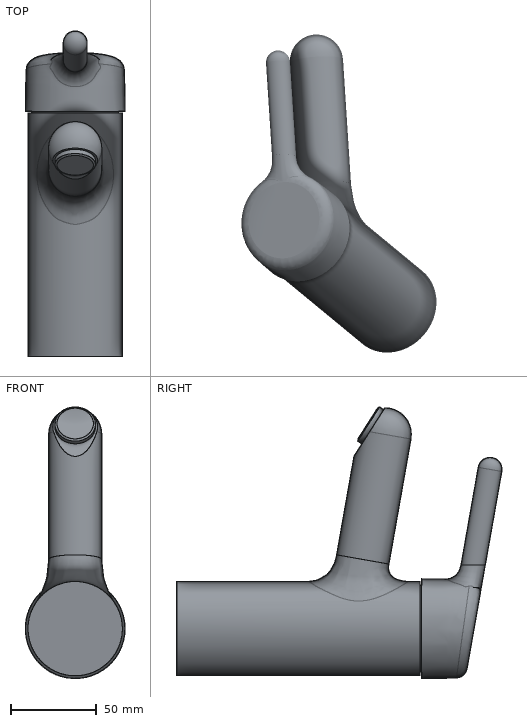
import cadquery as cq
import math

body_radius = 55 / 2
body_length = 142.0

groove_radius = 50.76 / 2
groove_width = 0.8

cap_radius = 58.18 / 2
cap_start = body_length + groove_width
cap_crown_radius = 600.0
cap_blank_length = 40.0
cap_rim_fillet = 6.5

lean = math.radians(10.0)

lever_radius = 14 / 2
overall_length = 189.71
lever_tip_y = overall_length - lever_radius
lever_tip_z = 92.8
lever_foot_z = 37.2
lever_flare_reach = 15.0

spout_radius = 31 / 2
spout_tip_y = 121.4
spout_tip_z = 113.2
spout_length = 74.0
spout_flare_across = 23.0
spout_flare_along = 31.0

outlet_elevation = math.radians(32.5)
outlet_offset = 8.3
aerator_radius = 11.8
aerator_height = 3.5
aerator_chamfer_width = 1.2
aerator_chamfer_depth = 0.6

flare_points = 16
flare_sections = 5
flare_sink = 0.05
flare_plug_radius = 3.0

trim_size = 300.0

x_axis = cq.Vector(1, 0, 0)
y_axis = cq.Vector(0, 1, 0)
z_axis = cq.Vector(0, 0, 1)
origin = cq.Vector(0, 0, 0)

lean_direction = cq.Vector(0, math.sin(lean), math.cos(lean))
lean_side = cq.Vector(0, math.cos(lean), -math.sin(lean))
lever_tip = cq.Vector(0, lever_tip_y, lever_tip_z)
spout_tip = cq.Vector(0, spout_tip_y, spout_tip_z)


def crowned_radius(y):
    """Radius of the barrelled cap at a position along Y."""
    drop = cap_crown_radius - math.sqrt(cap_crown_radius**2 - (y - cap_start) ** 2)
    return cap_radius - drop


def axis_point(tip, z):
    """Point at height z on the leaning axis through tip."""
    return tip - lean_direction * ((tip.z - z) / math.cos(lean))


def ball_ended_rod(tip, radius, length):
    """Leaning round rod that ends in a half ball centred on tip."""
    axis_plane = cq.Plane(tip, x_axis, lean_side * -1)
    diagonal = radius * math.cos(math.pi / 4)
    return (
        cq.Workplane(axis_plane)
        .moveTo(0, -length)
        .lineTo(radius, -length)
        .lineTo(radius, 0)
        .threePointArc((diagonal, diagonal), (0, radius))
        .close()
        .revolve(360, (0, 0, 0), (0, 1, 0))
    )


def flare(stem_circle, contact_curve):
    """Concave blend from a leaning stem down to a host lying along Y.

    stem_circle(angle) gives a point on the stem; contact_curve(angle) gives the
    touching point on the host. Each pair is joined by a parabola that leaves
    along the stem and, on the host's round side, lands in its tangent plane.
    Angles are measured from +Y towards +X.
    """
    angles = [2 * math.pi * i / flare_points for i in range(flare_points)]

    def tangent_drop(angle):
        start = stem_circle(angle)
        end = contact_curve(angle)
        normal = cq.Vector(end.x, 0, end.z).normalized()
        return (end - start).dot(normal) / lean_direction.dot(normal)

    def parabola_point(angle, t):
        start = stem_circle(angle)
        end = contact_curve(angle)
        corner = start + lean_direction * tangent_drop(angle)
        return start * (1 - t) ** 2 + corner * (2 * t * (1 - t)) + end * t**2

    rings = []
    for section in range(flare_sections):
        t = section / (flare_sections - 1)
        points = [parabola_point(angle, t) for angle in angles]
        rings.append(cq.Wire.assembleEdges([cq.Edge.makeSpline(points, periodic=True)]))

    contact = rings[-1]
    plug_ring = cq.Wire.makeCircle(flare_plug_radius, cq.Vector(0, contact.Center().y, 0), z_axis)
    skin = cq.occ_impl.shapes.loft(rings, cap=False)
    faces = skin.Faces()
    faces.append(cq.Face.makeRuledSurface(contact, plug_ring))
    faces.append(cq.Face.makeFromWires(rings[0]))
    faces.append(cq.Face.makeFromWires(plug_ring))
    return cq.Workplane(cq.Solid.makeSolid(cq.Shell.makeShell(faces)).fix())


def make_body():
    body = cq.Solid.makeCylinder(body_radius, body_length, origin, y_axis)
    neck_length = cap_start + groove_width
    neck = cq.Solid.makeCylinder(groove_radius, neck_length, origin, y_axis)
    return cq.Workplane(body).union(cq.Workplane(neck))


def make_cap():
    cap_end = cap_start + cap_blank_length
    cap_middle = cap_start + cap_blank_length / 2
    blank = (
        cq.Workplane("XY")
        .moveTo(0, cap_start)
        .lineTo(cap_radius, cap_start)
        .threePointArc((crowned_radius(cap_middle), cap_middle), (crowned_radius(cap_end), cap_end))
        .lineTo(0, cap_end)
        .close()
        .revolve(360, (0, 0, 0), (0, 1, 0))
    )
    rear_plane = cq.Plane(lever_tip + lean_side * lever_radius, x_axis, lean_side)
    waste = cq.Workplane(rear_plane).rect(trim_size, trim_size).extrude(trim_size)
    return blank.cut(waste).faces(">Y").edges().fillet(cap_rim_fillet)


def make_lever_flare():
    foot = axis_point(lever_tip, lever_foot_z)
    host = axis_point(lever_tip, cap_radius)

    def stem_circle(angle):
        radius = lever_radius - flare_sink
        return foot + cq.Vector(radius * math.sin(angle), radius * math.cos(angle) / math.cos(lean), 0)

    def contact_curve(angle):
        x = lever_flare_reach * math.sin(angle)
        rearward = math.cos(angle)
        if rearward > 0:
            along = (lever_radius - flare_sink) * rearward
            rim_drop = cap_rim_fillet * (1 - abs(math.sin(angle)))
        else:
            along = lever_flare_reach * rearward
            rim_drop = 0
        radius = crowned_radius(host.y + along) - rim_drop - flare_sink
        z = math.sqrt(radius**2 - x**2)
        y = host.y + (z - host.z) * math.tan(lean) + along / math.cos(lean)
        return cq.Vector(x, y, z)

    return flare(stem_circle, contact_curve)


def make_spout_flare():
    foot = spout_tip - lean_direction * spout_length
    host = axis_point(spout_tip, body_radius)
    contact_radius = body_radius - flare_sink

    def stem_circle(angle):
        radius = spout_radius - flare_sink
        return foot + cq.Vector(radius * math.sin(angle), 0, 0) + lean_side * (radius * math.cos(angle))

    def contact_curve(angle):
        x = spout_flare_across * math.sin(angle)
        y = host.y + spout_flare_along * math.cos(angle)
        return cq.Vector(x, y, math.sqrt(contact_radius**2 - x**2))

    return flare(stem_circle, contact_curve)


def make_spout():
    outlet_normal = cq.Vector(0, -math.cos(outlet_elevation), math.sin(outlet_elevation))
    outlet_center = spout_tip + outlet_normal * outlet_offset
    outlet_plane = cq.Plane(outlet_center, x_axis, outlet_normal)
    waste = cq.Workplane(outlet_plane).rect(trim_size, trim_size).extrude(trim_size)
    aerator = (
        cq.Workplane(outlet_plane)
        .circle(aerator_radius)
        .extrude(aerator_height)
        .faces(cq.selectors.DirectionNthSelector(outlet_normal, -1))
        .edges()
        .chamfer(aerator_chamfer_depth, aerator_chamfer_width)
    )
    return ball_ended_rod(spout_tip, spout_radius, spout_length).cut(waste).union(aerator)


def make_lever():
    rod = ball_ended_rod(lever_tip, lever_radius, lever_tip_z)
    foot_plane = cq.Workplane("XY", origin=(0, lever_tip_y, lever_foot_z))
    above_foot = foot_plane.rect(trim_size, trim_size).extrude(trim_size)
    return rod.intersect(above_foot)


result = make_body().union(make_cap())
result = result.union(make_lever_flare()).union(make_lever())
result = result.union(make_spout_flare()).union(make_spout())